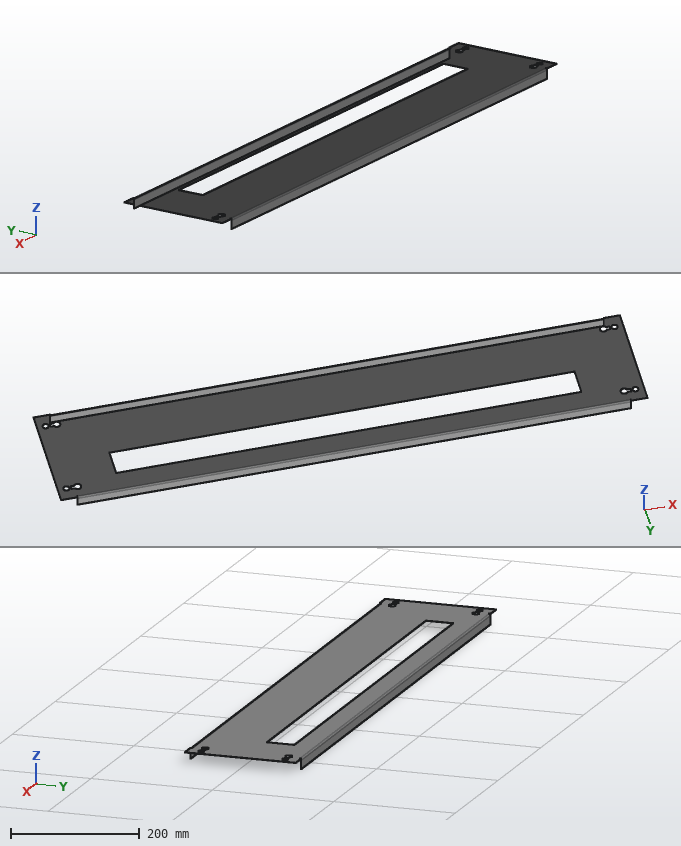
import cadquery as cq

length = 937.5
width = 183.0
height = 18.0
thickness = 1.0

flange_end_gap = 26.0
flange_length = length - 2 * flange_end_gap
bend_outer_radius = 3.0
bend_inner_radius = bend_outer_radius - thickness

window_length = 743.0
window_width = 45.0
window_edge_gap = 37.0
window_y = width / 2 - window_edge_gap - window_width / 2

hole_diameter = 9.0
hole_x = length / 2 - 14.0
hole_y = width / 2 - 22.5
keyhole_diameter = 11.0
keyhole_x = length / 2 - 32.0
keyhole_slot_width = 6.0
keyhole_slot_end_x = length / 2 - 22.0


def make_channel():
    """Rounded U-section of the plate and its two downturned flanges."""
    outer = (
        cq.Workplane("XY")
        .box(flange_length, width, height, centered=(True, True, False))
        .translate((0, 0, -height))
        .edges("|X and >Z")
        .fillet(bend_outer_radius)
    )
    inner = (
        cq.Workplane("XY")
        .box(flange_length, width - 2 * thickness, height, centered=(True, True, False))
        .translate((0, 0, -height - thickness))
        .edges("|X and >Z")
        .fillet(bend_inner_radius)
    )
    return outer.cut(inner)


def make_end_plate(side):
    """Flat end of the plate, beyond the flanges, on the -X or +X side."""
    center_x = side * (length - flange_end_gap) / 2
    return (
        cq.Workplane("XY")
        .box(flange_end_gap, width, thickness)
        .translate((center_x, 0, -thickness / 2))
    )


def make_corner_cutter(side_x, side_y):
    """Round hole and neighbouring keyhole whose slot points to the plate end."""
    y = side_y * hole_y
    round_hole = (
        cq.Workplane("XY", origin=(0, 0, -height))
        .center(side_x * hole_x, y)
        .circle(hole_diameter / 2)
        .extrude(height)
    )
    keyhole = (
        cq.Workplane("XY", origin=(0, 0, -height))
        .center(side_x * keyhole_x, y)
        .circle(keyhole_diameter / 2)
        .extrude(height)
    )
    slot_length = keyhole_slot_end_x - keyhole_x
    slot_center_x = keyhole_slot_end_x - slot_length / 2
    slot = (
        cq.Workplane("XY", origin=(0, 0, -height))
        .center(side_x * slot_center_x, y)
        .rect(slot_length, keyhole_slot_width)
        .extrude(height)
    )
    return round_hole.union(keyhole).union(slot)


result = make_channel()
for side in (-1, 1):
    result = result.union(make_end_plate(side))

window = (
    cq.Workplane("XY", origin=(0, window_y, -height))
    .rect(window_length, window_width)
    .extrude(height)
)
result = result.cut(window)

for side_x in (-1, 1):
    for side_y in (-1, 1):
        result = result.cut(make_corner_cutter(side_x, side_y))